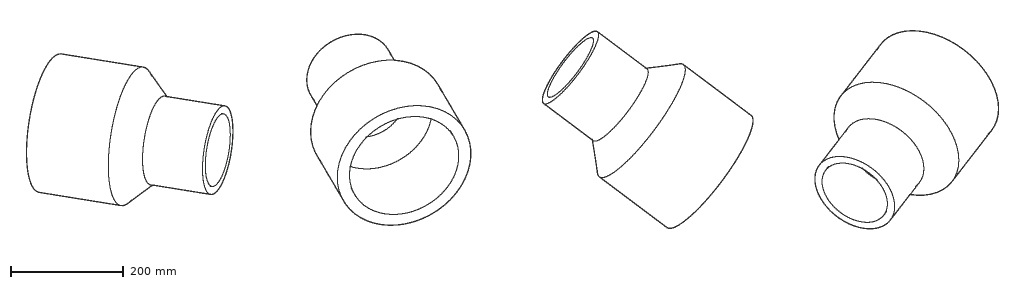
import cadquery as cq

total_length = 317.0
wide_diameter = 250.0
wide_wall = 22.8
wide_length = 155.0
narrow_diameter = 160.0
narrow_wall = 14.5
narrow_length = 113.5

wide_radius = wide_diameter / 2
narrow_radius = narrow_diameter / 2
taper_end = total_length - narrow_length


def stepped_cone(large_radius, small_radius):
    """Solid of revolution: wide cylinder, taper, narrow cylinder."""
    profile = (
        cq.Workplane("XY")
        .lineTo(0, large_radius)
        .lineTo(wide_length, large_radius)
        .lineTo(taper_end, small_radius)
        .lineTo(total_length, small_radius)
        .lineTo(total_length, 0)
        .close()
    )
    return profile.revolve(360, (0, 0, 0), (1, 0, 0))


outside = stepped_cone(wide_radius, narrow_radius)
bore = stepped_cone(wide_radius - wide_wall, narrow_radius - narrow_wall)

result = outside.cut(bore)